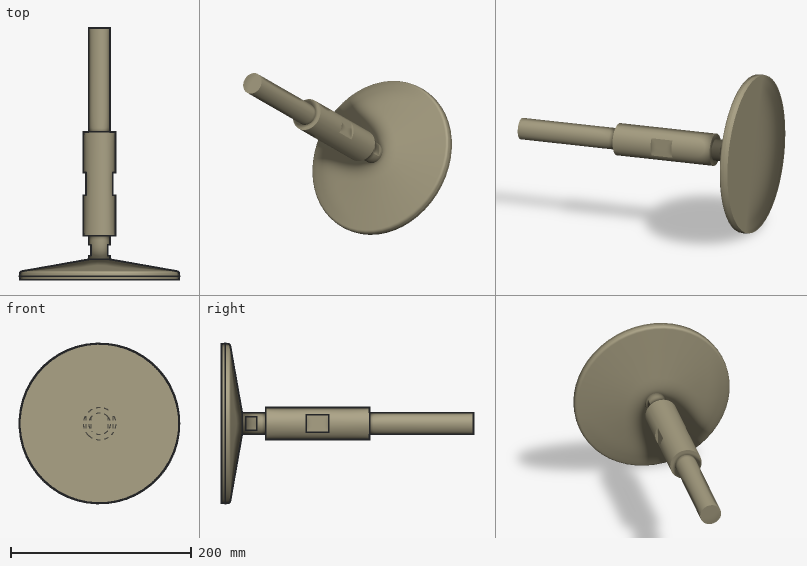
import cadquery as cq
import math


base_diameter = 177.98
pad_thickness = 4.1
pad_taper = math.radians(8)

cone_top = 23.0
cone_angle = math.radians(10)
rim_draft = math.radians(5.5)
rim_round = 3.2

overall_length = 280.0
rod_diameter = 24.0
sleeve_diameter = 36.0
sleeve_start = cone_top + 26.0
sleeve_length = 115.5
sleeve_end = sleeve_start + sleeve_length

sleeve_across_flats = 30.0
sleeve_flat_length = 25.0
sleeve_flat_start = sleeve_start + (sleeve_length - sleeve_flat_length) / 2
neck_across_flats = 19.0
neck_flat_length = 12.0
neck_flat_start = cone_top + 4.0

base_radius = base_diameter / 2
rod_radius = rod_diameter / 2
sleeve_radius = sleeve_diameter / 2


def turned(profile):
    """Revolve a (radius, Y) half section about the Y axis."""
    return profile.close().revolve(360, (0, 0, 0), (0, 1, 0))


def cut_wrench_flats(body, diameter, across_flats, start, length):
    """Cut two parallel flats, facing -X and +X, into a round stretch."""
    depth = (diameter - across_flats) / 2
    offset = (across_flats + depth) / 2
    cutter = cq.Workplane("XY").box(depth, length, diameter)
    for side in (-1, 1):
        body = body.cut(cutter.translate((side * offset, start + length / 2, 0)))
    return body


def make_pad():
    """Round pad that carries the base plate."""
    floor_radius = base_radius - pad_thickness * math.tan(pad_taper)
    profile = (
        cq.Workplane("XY")
        .lineTo(floor_radius, 0)
        .lineTo(base_radius, pad_thickness)
        .lineTo(0, pad_thickness)
    )
    return turned(profile)


def make_leg():
    """Base plate, rod and sleeve turned in one piece, with the wrench flats cut in."""
    cone_slope = math.tan(cone_angle)
    rim_slope = math.tan(rim_draft)
    cone_height_at_base_radius = cone_top - (base_radius - rod_radius) * cone_slope
    corner_height = (cone_height_at_base_radius - pad_thickness) / (1 - rim_slope * cone_slope)

    start_angle = rim_draft
    end_angle = math.pi / 2 - cone_angle
    tangent_length = rim_round * math.tan((end_angle - start_angle) / 2)
    rim_height = corner_height - tangent_length * math.cos(rim_draft)
    rim_top = (base_radius - rim_height * rim_slope, pad_thickness + rim_height)
    round_center_radius = rim_top[0] - rim_round * math.cos(start_angle)
    round_center_height = rim_top[1] - rim_round * math.sin(start_angle)

    def point_on_round(angle):
        return (
            round_center_radius + rim_round * math.cos(angle),
            round_center_height + rim_round * math.sin(angle),
        )

    profile = (
        cq.Workplane("XY")
        .moveTo(0, pad_thickness)
        .lineTo(base_radius, pad_thickness)
        .lineTo(*rim_top)
        .threePointArc(point_on_round((start_angle + end_angle) / 2), point_on_round(end_angle))
        .lineTo(rod_radius, cone_top)
        .lineTo(rod_radius, sleeve_start)
        .lineTo(sleeve_radius, sleeve_start)
        .lineTo(sleeve_radius, sleeve_end)
        .lineTo(rod_radius, sleeve_end)
        .lineTo(rod_radius, overall_length)
        .lineTo(0, overall_length)
    )
    leg = turned(profile)
    leg = cut_wrench_flats(leg, sleeve_diameter, sleeve_across_flats, sleeve_flat_start, sleeve_flat_length)
    return cut_wrench_flats(leg, rod_diameter, neck_across_flats, neck_flat_start, neck_flat_length)


pad = make_pad()
leg = make_leg()

result = cq.Compound.makeCompound([*pad.solids().vals(), *leg.solids().vals()])